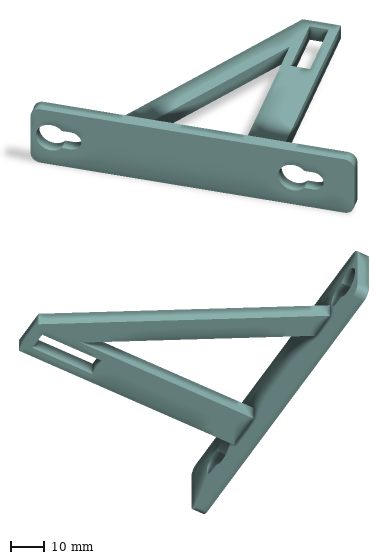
import cadquery as cq

plate_length = 101.6
plate_height = 20.0
plate_thickness = 4.0
plate_corner_radius = 3.0

keyhole_spacing = 76.2
head_diameter = 9.5
neck_diameter = 6.4
head_to_neck = 6.35

bracket_reach = 79.0
frame_thickness = 5.0
arm_left = 12.7
arm_width = 12.0
brace_foot_left = -34.0
brace_foot_width = 9.1

slot_wall = 3.0
slot_length = 21.0

arm_right = arm_left + arm_width
brace_foot_right = brace_foot_left + brace_foot_width
brace_slope = (bracket_reach - plate_thickness) / (arm_left - brace_foot_left)


def make_plate():
    return (
        cq.Workplane("XY")
        .box(plate_length, plate_thickness, plate_height, centered=(True, False, True))
        .edges("|Y")
        .fillet(plate_corner_radius)
    )


def make_keyhole(neck_x):
    """Keyhole cutter running through the plate, its neck end centred at neck_x."""
    head_x = neck_x - head_to_neck
    head = cq.Workplane("XZ").center(head_x, 0).circle(head_diameter / 2).extrude(-plate_thickness)
    neck_end = cq.Workplane("XZ").center(neck_x, 0).circle(neck_diameter / 2).extrude(-plate_thickness)
    neck = (
        cq.Workplane("XZ")
        .center((head_x + neck_x) / 2, 0)
        .rect(head_to_neck, neck_diameter)
        .extrude(-plate_thickness)
    )
    return head.union(neck).union(neck_end)


def make_frame():
    """Slotted arm and its parallel-sided diagonal brace, rising from the plate's back face."""
    window_peak = plate_thickness + brace_slope * (arm_left - brace_foot_right)
    outline = (
        cq.Workplane("XY")
        .polyline([
            (brace_foot_left, plate_thickness),
            (brace_foot_right, plate_thickness),
            (arm_left, window_peak),
            (arm_left, plate_thickness),
            (arm_right, plate_thickness),
            (arm_right, bracket_reach),
            (arm_left, bracket_reach),
        ])
        .close()
        .extrude(-frame_thickness)
    )
    slot = (
        cq.Workplane("XY")
        .center((arm_left + arm_right) / 2, bracket_reach - slot_wall - slot_length / 2)
        .rect(arm_width - 2 * slot_wall, slot_length)
        .extrude(-frame_thickness)
    )
    return outline.cut(slot)


result = make_plate().union(make_frame())
for side in (-1, 1):
    result = result.cut(make_keyhole(side * keyhole_spacing / 2))